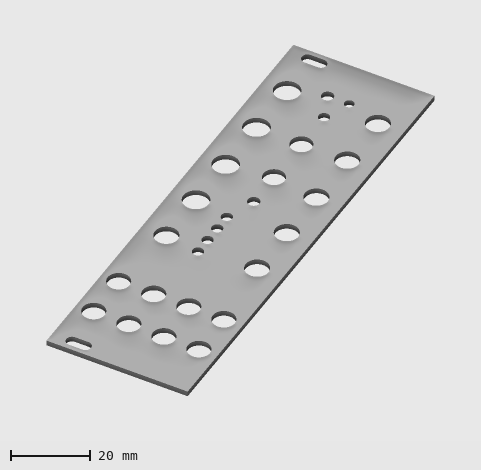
import cadquery as cq

panel_width = 40.3
panel_length = 128.5
panel_thickness = 1.5

large_hole = 7.2
medium_hole = 6.5
jack_hole = 6.3
centre_hole = 6.0
large_pilot = 3.3
medium_pilot = 3.1
small_pilot = 2.7

slot_length = 7.1
slot_width = 3.2
slot_x = -12.6
slot_y = 61.3

pattern_x = -0.17

column_x = 13.0
control_rows = [48.2, 32.3, 16.2, 0.8, -14.6]

centre_rows = [32.0, 17.7]
upper_pilot_y = 43.8
lower_pilot_y = 7.2

pilot_offset_x = 3.1
pilot_pair_y = 51.3
pilot_row_top = -1.2
pilot_row_pitch = 5.0
pilot_row_count = 4

jack_pitch = 10.0
jack_columns = 4
jack_rows = [-35.7, -48.7]


def drill(body, diameter, points):
    """Cut round through holes at points measured from the pattern centreline."""
    pattern = cq.Workplane("XY").center(pattern_x, 0)
    cutter = pattern.pushPoints(points).circle(diameter / 2).extrude(panel_thickness)
    return body.cut(cutter)


panel = cq.Workplane("XY").box(
    panel_width, panel_length, panel_thickness, centered=(True, True, False)
)

slots = (
    cq.Workplane("XY")
    .pushPoints([(slot_x, slot_y), (slot_x, -slot_y)])
    .slot2D(slot_length, slot_width)
    .extrude(panel_thickness)
)
panel = panel.cut(slots)

panel = drill(panel, large_hole, [(-column_x, y) for y in control_rows[:-1]])
panel = drill(panel, medium_hole, [(-column_x, control_rows[-1])])
panel = drill(panel, medium_hole, [(column_x, y) for y in control_rows])
panel = drill(panel, centre_hole, [(0, y) for y in centre_rows])

pilot_row = [
    (-pilot_offset_x, pilot_row_top - i * pilot_row_pitch) for i in range(pilot_row_count)
]
panel = drill(panel, large_pilot, [(-pilot_offset_x, pilot_pair_y), (0, lower_pilot_y)])
panel = drill(panel, small_pilot, [(pilot_offset_x, pilot_pair_y)])
panel = drill(panel, medium_pilot, [(0, upper_pilot_y)] + pilot_row)

first_jack_x = -jack_pitch * (jack_columns - 1) / 2
jack_points = [
    (first_jack_x + i * jack_pitch, y) for y in jack_rows for i in range(jack_columns)
]
panel = drill(panel, jack_hole, jack_points)

result = panel